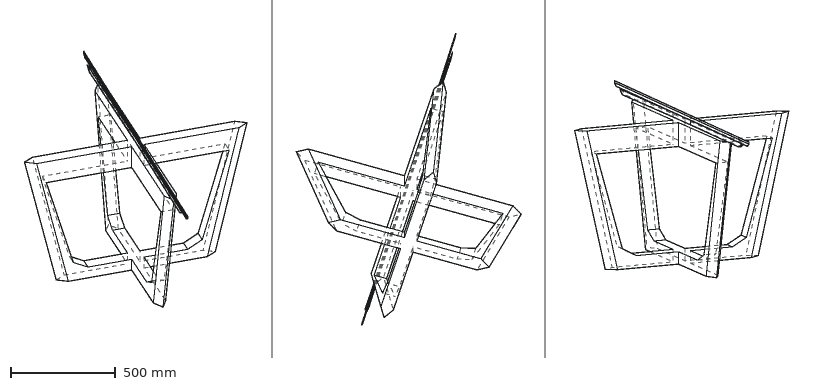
import cadquery as cq
import math

FRAME_HEIGHT = 690.0
FRAME_THICKNESS = 62.0
TOP_HALF_WIDTH = 562.0
FOOT_HALF_WIDTH = 402.0
POINT_DEPTH = 51.0

OPENING_TOP = 573.0
OPENING_TOP_HALF_WIDTH = 460.0
KNEE_HEIGHT = 100.0
KNEE_HALF_WIDTH = 325.0
BOTTOM_RAIL_HEIGHT = 60.0
OPENING_FLOOR_HALF_WIDTH = 251.0

SHEET_THICKNESS = 2.0
UPPER_LENGTH = 1600.0
SLAB_HEIGHT = 10.0
BOARD_HEIGHT = 15.0
UPPER_BEVEL_LENGTH = 20.0
UPPER_TURN = -0.8
LOWER_LENGTH = 1424.0
LOWER_EDGE_HEIGHT = 3.0
LOWER_BEVEL_LENGTH = 29.0
LOWER_TURN = -0.9
TOTAL_HEIGHT = 736.0
SLAB_BOTTOM = TOTAL_HEIGHT - SLAB_HEIGHT
BOARD_BOTTOM = SLAB_BOTTOM - BOARD_HEIGHT


def mirrored_prism(right_side, thickness):
    """Extrude an XZ outline, given by its +X points, evenly about the XZ plane."""
    left_side = [(-x, z) for x, z in reversed(right_side)]
    outline = cq.Workplane("XZ").polyline(right_side + left_side).close()
    return outline.extrude(thickness / 2, both=True)


def pointed_blank():
    """Solid trapezoid whose sloping outer edges come to a point at mid-thickness."""
    half = FRAME_THICKNESS / 2

    def section(z, half_width):
        shoulder = half_width - POINT_DEPTH
        points = [
            (half_width, 0, z),
            (shoulder, half, z),
            (-shoulder, half, z),
            (-half_width, 0, z),
            (-shoulder, -half, z),
            (shoulder, -half, z),
        ]
        return cq.Wire.makePolygon([cq.Vector(*point) for point in points], close=True)

    foot = section(0, FOOT_HALF_WIDTH)
    head = section(FRAME_HEIGHT, TOP_HALF_WIDTH)
    return cq.Workplane(obj=cq.Solid.makeLoft([foot, head], True))


def single_frame():
    """Legs and bottom rail cut from the blank, with the top rail fitted between the legs."""
    lean = (OPENING_TOP_HALF_WIDTH - KNEE_HALF_WIDTH) / (OPENING_TOP - KNEE_HEIGHT)
    head_half_width = OPENING_TOP_HALF_WIDTH + lean * (FRAME_HEIGHT - OPENING_TOP)
    opening_side = [
        (OPENING_FLOOR_HALF_WIDTH, BOTTOM_RAIL_HEIGHT),
        (KNEE_HALF_WIDTH, KNEE_HEIGHT),
        (head_half_width, FRAME_HEIGHT),
    ]
    rail_side = [
        (OPENING_TOP_HALF_WIDTH, OPENING_TOP),
        (head_half_width, FRAME_HEIGHT),
    ]
    legs = pointed_blank().cut(mirrored_prism(opening_side, 2 * FRAME_THICKNESS))
    rail = mirrored_prism(rail_side, FRAME_THICKNESS)
    return legs.union(rail, clean=False)


def crossed_base():
    """Two frames joined at their rails, with the joint lines kept at the crossing."""
    along_x = single_frame()
    along_y = along_x.rotate((0, 0, 0), (0, 0, 1), 90)
    return along_x.union(along_y, clean=False)


def turned_half_length(length, turn):
    """Half-length of a sheet that spans the given length along X once turned about Z."""
    angle = math.radians(abs(turn))
    return (length - SHEET_THICKNESS * math.sin(angle)) / (2 * math.cos(angle))


def turned_sheet(side, turn):
    return mirrored_prism(side, SHEET_THICKNESS).rotate((0, 0, 0), (0, 0, 1), turn)


def top_slab():
    half_length = turned_half_length(UPPER_LENGTH, UPPER_TURN)
    side = [
        (half_length, SLAB_BOTTOM),
        (half_length, TOTAL_HEIGHT),
    ]
    return turned_sheet(side, UPPER_TURN)


def bevelled_board():
    half_length = turned_half_length(UPPER_LENGTH, UPPER_TURN)
    side = [
        (half_length - UPPER_BEVEL_LENGTH, BOARD_BOTTOM),
        (half_length, SLAB_BOTTOM),
    ]
    return turned_sheet(side, UPPER_TURN)


def support_board():
    """Two sheets crossing on the Z axis at a very small angle, joined as one."""
    half_length = LOWER_LENGTH / 2
    side = [
        (half_length - LOWER_BEVEL_LENGTH, FRAME_HEIGHT),
        (half_length, BOARD_BOTTOM - LOWER_EDGE_HEIGHT),
        (half_length, BOARD_BOTTOM),
    ]
    straight = turned_sheet(side, 0)
    return straight.union(turned_sheet(side, LOWER_TURN))


base = crossed_base()
slab = top_slab()
board = bevelled_board()
support = support_board()

result = cq.Compound.makeCompound(
    [*base.solids().vals(), slab.val(), board.val(), *support.solids().vals()]
)